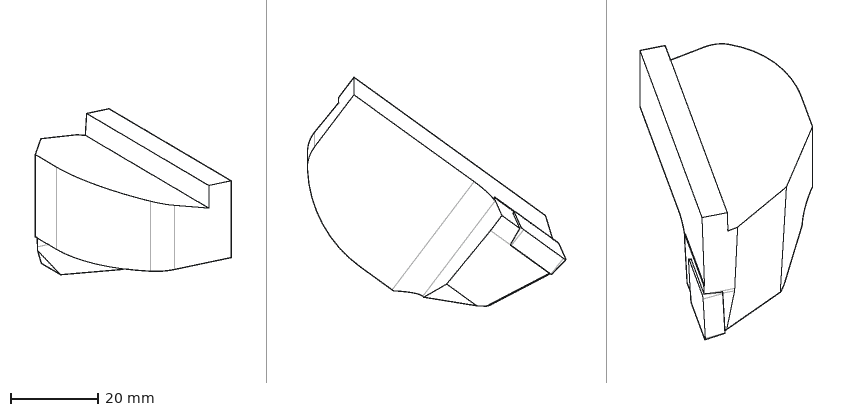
import cadquery as cq
import math


def tan(degrees):
    return math.tan(math.radians(degrees))

length = 59.9
depth = 31.55
height = 36.85

bar_width = 6.0
bar_top = 35.5
top_slope = 15.0

end_lean = 6.0
end_foot_x = 1.6
insert_lean = 10.0
seat_foot_x = 0.8
seat_top_z = 11.75
end_bottom_z = 12.45
head_right_foot_x = 17.7
body_bottom = 16.7
throat_radius = 6.0

head_slope = 7.0
head_bottom_z = 1.0
head_flat = 4.2
bevel_start = 20.6
bevel_angle = 48.0

flat_left = 25.3
flat_right = 34.75
side_angle = 35.0
nose_radius = 29.95
corner_radius = 8.4

flank_point = (7.6, -19.35, 3.1)
flank_normal = (-1, -0.44, 0.076)
flank_chamfer = 0.3

pad_height = 0.2
pad_right = 20.0
pad_top = 15.15

insert_edge = 12.9
insert_clearance = 7.0
insert_thickness = 4.85
insert_face_y = 0.65
insert_corner_radius = 0.8
insert_acute = 90 - insert_lean

reach = 2 * length


def side_prism():
    """XZ outline of the holder, extruded through its whole depth and pad."""
    outline = [
        (end_foot_x + height * tan(end_lean), height),
        (end_foot_x + end_bottom_z * tan(end_lean), end_bottom_z),
        (seat_foot_x + seat_top_z * tan(insert_lean), seat_top_z),
        (seat_foot_x, 0),
        (head_right_foot_x, 0),
        (head_right_foot_x + body_bottom * tan(insert_lean), body_bottom),
        (length, body_bottom),
        (length, height),
    ]
    throat_corner = (outline[5][0], (pad_height - depth) / 2, body_bottom)
    throat = cq.selectors.NearestToPointSelector(throat_corner)
    return (
        cq.Workplane("XZ", origin=(0, pad_height, 0))
        .polyline(outline)
        .close()
        .extrude(depth + pad_height)
        .edges(throat)
        .fillet(throat_radius)
    )


def plan_prism():
    """XY outline: straight 35 degree side, flat front and rounded right end."""
    nose_y = nose_radius - depth
    corner_x = length - corner_radius
    across = corner_x - flat_right
    gap = nose_radius - corner_radius
    corner_y = nose_y - math.sqrt(gap**2 - across**2)
    turn = math.asin(across / gap)
    join = (flat_right + nose_radius * math.sin(turn), nose_y - nose_radius * math.cos(turn))
    nose_mid = (
        flat_right + nose_radius * math.sin(turn / 2),
        nose_y - nose_radius * math.cos(turn / 2),
    )
    corner_turn = (turn + math.pi / 2) / 2
    corner_mid = (
        corner_x + corner_radius * math.sin(corner_turn),
        corner_y - corner_radius * math.cos(corner_turn),
    )
    return (
        cq.Workplane("XY")
        .moveTo(0, pad_height)
        .lineTo(0, flat_left * tan(side_angle) - depth)
        .lineTo(flat_left, -depth)
        .lineTo(flat_right, -depth)
        .threePointArc(nose_mid, join)
        .threePointArc(corner_mid, (length, corner_y))
        .lineTo(length, pad_height)
        .close()
        .extrude(height)
    )


def section_prism():
    """YZ section: guide bar, sloping top, bevel, sloping underside and level strip."""
    bevel_z = head_bottom_z + (bevel_start - head_flat) * tan(head_slope)
    section = [
        (pad_height, bar_top),
        (-bar_width, bar_top),
        (-bar_width, height - (depth - bar_width) * tan(top_slope)),
        (-depth, height),
        (-depth, bevel_z + (depth - bevel_start) * tan(bevel_angle)),
        (-bevel_start, bevel_z),
        (-head_flat, head_bottom_z),
        (pad_height, head_bottom_z),
    ]
    return cq.Workplane("YZ").polyline(section).close().extrude(length)


def back_trim():
    """Layer removed from the back, leaving only the raised pad."""
    layer = cq.Workplane("XY").box(length, pad_height, height, centered=False)
    pad = cq.Workplane("XY").box(pad_right, pad_height, pad_top, centered=False)
    return layer.cut(pad)


def flank_trim():
    """Block outside the oblique flank plane."""
    flank = cq.Plane(origin=flank_point, xDir=(0, 0, 1), normal=flank_normal)
    return cq.Workplane(flank).rect(reach, reach).extrude(reach)


def lower_flank_middle():
    """Point near the middle of the edge between the flank and the sloping underside."""
    middle_y = -(head_flat + bevel_start) / 2
    middle_z = head_bottom_z + (-middle_y - head_flat) * tan(head_slope)
    x0, y0, z0 = flank_point
    _, ny, nz = flank_normal
    middle_x = x0 + ny * (middle_y - y0) + nz * (middle_z - z0)
    return (middle_x, middle_y, middle_z)


def make_insert():
    """Rhombic plate tapering away from its face, its rounded tip reaching x = 0."""
    acute = math.radians(insert_acute)
    tip_x = insert_corner_radius * (1 - 1 / math.tan(acute / 2))
    rise = insert_edge * math.sin(acute)
    shift = insert_edge * math.cos(acute)
    rhombus = (
        cq.Sketch()
        .polygon([
            (tip_x, 0),
            (tip_x + insert_edge, 0),
            (tip_x + insert_edge + shift, rise),
            (tip_x + shift, rise),
            (tip_x, 0),
        ])
        .vertices()
        .fillet(insert_corner_radius)
    )
    return (
        cq.Workplane("XZ", origin=(0, insert_face_y, 0))
        .placeSketch(rhombus)
        .extrude(insert_thickness, taper=insert_clearance)
    )


def make_holder(insert):
    blank = side_prism().intersect(plan_prism()).intersect(section_prism())
    trimmed = blank.cut(back_trim()).cut(flank_trim())
    lower_flank_edge = cq.selectors.NearestToPointSelector(lower_flank_middle())
    return trimmed.edges(lower_flank_edge).chamfer(flank_chamfer).cut(insert)


insert = make_insert()
holder = make_holder(insert)

result = cq.Compound.makeCompound([holder.val(), insert.val()])